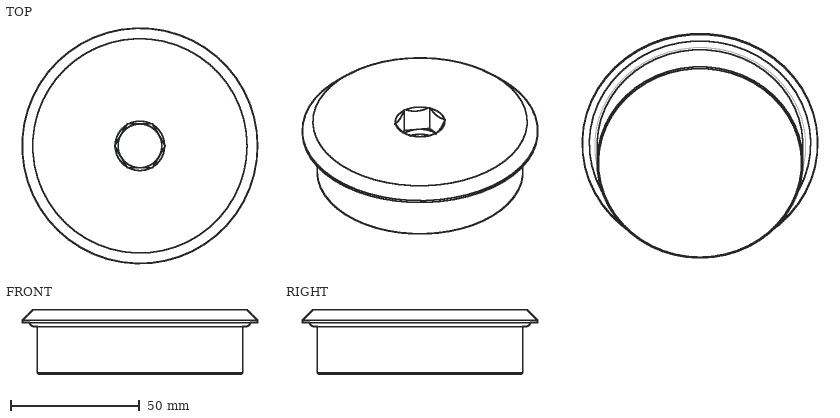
import cadquery as cq
import math

TOTAL_HEIGHT = 25.0
FLANGE_DIAMETER = 91.5
FLANGE_THICKNESS = 5.0
FLANGE_CHAMFER = 4.1
SHANK_DIAMETER = 80.0
SHANK_CHAMFER = 0.55

HEX_ACROSS_FLATS = 17.0
HEX_DEPTH = 10.0
MOUTH_DIAMETER = 19.2
MOUTH_CONE_ANGLE = 90.0
DRILL_DIAMETER = HEX_ACROSS_FLATS
DRILL_STRAIGHT_DEPTH = 2.4
DRILL_POINT_ANGLE = 120.0

RING_DIAMETER = 86.0
RING_PROJECTION = 1.6
RING_GROOVE_DEPTH = 1.0
RING_FILLET = 2.0
RING_HEIGHT = RING_PROJECTION + RING_GROOVE_DEPTH

FLANGE_UNDERSIDE = TOTAL_HEIGHT - FLANGE_THICKNESS
HEX_FLOOR = TOTAL_HEIGHT - HEX_DEPTH
DRILL_SHOULDER = HEX_FLOOR - DRILL_STRAIGHT_DEPTH


def downward_cone(diameter, included_angle, base_height):
    """Solid cone with its base at base_height and its point below."""
    radius = diameter / 2
    depth = radius / math.tan(math.radians(included_angle / 2))
    return (
        cq.Workplane("XZ")
        .moveTo(0, base_height)
        .lineTo(radius, base_height)
        .lineTo(0, base_height - depth)
        .close()
        .revolve(360, (0, 0, 0), (0, 1, 0))
    )


def make_blank():
    """Shank and flange with their outer chamfers."""
    shank = (
        cq.Workplane("XY")
        .circle(SHANK_DIAMETER / 2)
        .extrude(FLANGE_UNDERSIDE)
        .faces("<Z")
        .chamfer(SHANK_CHAMFER)
    )
    flange = (
        cq.Workplane("XY", origin=(0, 0, FLANGE_UNDERSIDE))
        .circle(FLANGE_DIAMETER / 2)
        .extrude(FLANGE_THICKNESS)
        .faces(">Z")
        .chamfer(FLANGE_CHAMFER)
    )
    return shank.union(flange)


def cut_socket(body):
    """Hexagon socket, corners on the X axis, with its drilled hole and mouth."""
    across_corners = HEX_ACROSS_FLATS / math.cos(math.pi / 6)
    hexagon = (
        cq.Workplane("XY", origin=(0, 0, HEX_FLOOR))
        .polygon(6, across_corners)
        .extrude(HEX_DEPTH)
    )
    drill = (
        cq.Workplane("XY", origin=(0, 0, DRILL_SHOULDER))
        .circle(DRILL_DIAMETER / 2)
        .extrude(DRILL_STRAIGHT_DEPTH)
    )
    drill_point = downward_cone(DRILL_DIAMETER, DRILL_POINT_ANGLE, DRILL_SHOULDER)
    mouth = downward_cone(MOUTH_DIAMETER, MOUTH_CONE_ANGLE, TOTAL_HEIGHT)
    return body.cut(hexagon).cut(drill).cut(drill_point).cut(mouth)


def cut_ring_groove(body):
    """Groove in the flange underside that holds the top of the sealing ring."""
    groove = (
        cq.Workplane("XY", origin=(0, 0, FLANGE_UNDERSIDE))
        .circle(RING_DIAMETER / 2)
        .circle(SHANK_DIAMETER / 2)
        .extrude(RING_GROOVE_DEPTH)
    )
    return body.cut(groove)


def make_sealing_ring():
    """Ring fitting the groove and the shank, rounded on its lower outer edge."""
    return (
        cq.Workplane("XY", origin=(0, 0, FLANGE_UNDERSIDE - RING_PROJECTION))
        .circle(RING_DIAMETER / 2)
        .extrude(RING_HEIGHT)
        .faces("<Z")
        .edges()
        .fillet(RING_FILLET)
        .faces(">Z")
        .workplane()
        .circle(SHANK_DIAMETER / 2)
        .cutThruAll()
    )


plug = cut_ring_groove(cut_socket(make_blank()))
sealing_ring = make_sealing_ring()

result = cq.Compound.makeCompound([plug.val(), sealing_ring.val()])